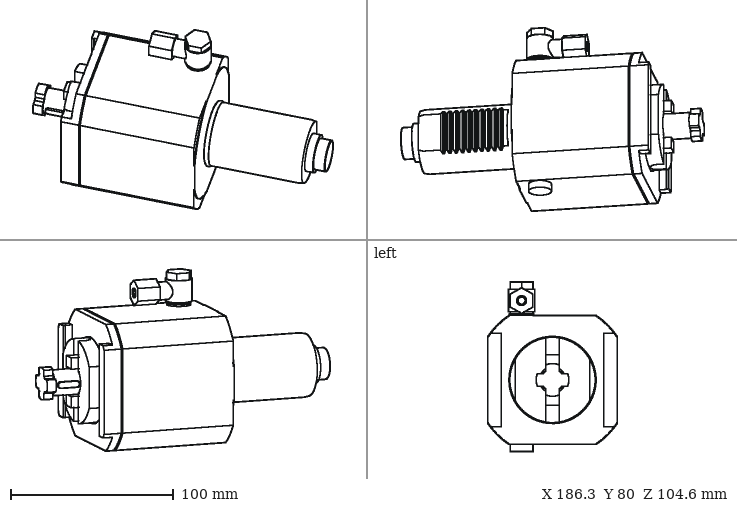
import cadquery as cq
import math


housing_width = 80.0
housing_height = 79.4
housing_length = 78.8
corner_radius = 47.9
joint_position = 73.0
joint_width = 0.7
joint_depth = 0.4
rear_pad_radius = 41.4
rear_pad_thickness = 0.5

strip_depth = 6.1
strip_height = 57.8
strip_gap = 63.0
strip_lip_depth = 1.5
strip_undercut = 0.5

flange_radius = 26.3
flange_flats = 45.6
flange_front = 88.3
flange_gap = 0.5
flange_gap_depth = 1.9
slot_width = 8.5
slot_depth = 9.1
key_front = 93.0
key_inner = 8.5
key_outer = 15.6

spindle_radius = 8.0
cross_front = 111.0
cross_thickness = 6.0
cross_radius = 10.0
cross_core_radius = 6.9
cross_arm_width = 7.8
feather_start = -103.4
feather_length = 14.2
feather_width = 4.0
feather_top = 9.3

shank_radius = 20.0
shank_length = 63.0
shank_chamfer_length = 3.0
shank_chamfer_height = 0.5
ring_groove_length = 3.7
ring_groove_radius = 19.2
ring_section_radius = 1.5
collar_radius = 12.0
collar_end = 68.0
tail_radius = 9.9
tail_end = 75.3
tail_chamfer = 0.4
flat_start = 6.9
flat_height = 16.0
tooth_count = 10
tooth_row_length = 36.0
tooth_pitch = tooth_row_length / (tooth_count - 1)
first_tooth = 11.5
tooth_depth = 1.7
tooth_top_width = 3.2
tooth_root_width = 1.0

elbow_x = -13.6
elbow_y = 19.0
elbow_radius = 8.2
elbow_bottom = 42.0
elbow_top = 55.9
seal_radius = 7.5
seal_top = 40.8
neck_radius = 7.0
cap_top = 60.4
cap_flats = 14.2
tube_radius = 5.5
tube_height = 48.8
nut_start = -43.0
nut_length = 14.5
nut_flats = 13.8
bore_radius = 2.2
bore_mouth_radius = 3.0
plug_radius = 7.0
plug_bottom = -44.2

front_face = -housing_length
overlap = 1.9


def cylinder_x(radius, start, end):
    """Cylinder on the spindle axis between two X positions."""
    return cq.Workplane("YZ").workplane(offset=start).circle(radius).extrude(end - start)


def box_between(x_range, y_range, z_range):
    """Axis-aligned box given by its limits on each axis."""
    sizes = [high - low for low, high in (x_range, y_range, z_range)]
    corner = (x_range[0], y_range[0], z_range[0])
    return cq.Workplane("XY").box(*sizes, centered=False).translate(corner)


def housing_prism(start, end, inset=0.0):
    """Square housing section with corners rounded about the spindle axis."""
    block = (
        cq.Workplane("YZ").workplane(offset=start)
        .rect(housing_width - 2 * inset, housing_height - 2 * inset)
        .extrude(end - start)
    )
    return block.intersect(cylinder_x(corner_radius - inset, start, end))


def make_housing():
    body = housing_prism(front_face, 0)
    joint_start = -joint_position - joint_width / 2
    joint_end = joint_start + joint_width
    joint_core = housing_prism(joint_start, joint_end, joint_depth)
    joint = housing_prism(joint_start, joint_end).cut(joint_core)
    body = body.cut(joint)

    pad = housing_prism(0, rear_pad_thickness)
    pad = pad.intersect(cylinder_x(rear_pad_radius, 0, rear_pad_thickness))
    return add_strips(body.union(pad))


def strip_band(start, end, width):
    """Centred block as high as the guide strips."""
    return box_between(
        (start, end),
        (-width / 2, width / 2),
        (-strip_height / 2, strip_height / 2),
    )


def add_strips(body):
    """Add ribs along both side edges of the front face, undercut behind a lip."""
    strip_start = front_face - strip_depth
    strip_end = front_face + overlap
    lip_end = strip_start + strip_lip_depth
    strips = housing_prism(strip_start, strip_end)
    strips = strips.intersect(strip_band(strip_start, strip_end, housing_width))
    strips = strips.cut(strip_band(strip_start, lip_end, strip_gap))
    strips = strips.cut(strip_band(lip_end, strip_end, strip_gap + 2 * strip_undercut))
    return body.union(strips)


def slot_profile(front):
    """Slot outline in plan, with a flat front end and a round inner end."""
    half = slot_width / 2
    bottom = slot_depth - flange_front
    return (
        cq.Workplane("XY")
        .moveTo(front, -half)
        .lineTo(bottom - half, -half)
        .threePointArc((bottom, 0), (bottom - half, half))
        .lineTo(front, half)
        .close()
    )


def add_flange(body):
    gap_floor = front_face + flange_gap_depth
    gap = cylinder_x(flange_radius + flange_gap, front_face, gap_floor)
    gap = gap.cut(cylinder_x(flange_radius, front_face, gap_floor))
    flats = box_between(
        (-flange_front, front_face),
        (-flange_flats / 2, flange_flats / 2),
        (-flange_radius, flange_radius),
    )
    flange = cylinder_x(flange_radius, -flange_front, front_face).intersect(flats)
    slot = slot_profile(-flange_front).extrude(flange_radius, both=True)
    body = body.cut(gap).union(flange).cut(slot)

    upper_key = slot_profile(-key_front).extrude(key_outer - key_inner).translate((0, 0, key_inner))
    return body.union(upper_key).union(upper_key.mirror("XY"))


def make_spindle():
    cross_back = cross_thickness - cross_front
    spindle = cylinder_x(spindle_radius, cross_back, front_face + overlap)

    arms = cq.Workplane("YZ").workplane(offset=-cross_front)
    arms = (
        arms.rect(2 * cross_radius, cross_arm_width).extrude(cross_thickness)
        .union(arms.rect(slot_width, 2 * cross_radius).extrude(cross_thickness))
        .intersect(cylinder_x(cross_radius, -cross_front, cross_back))
    )
    core = cylinder_x(cross_core_radius, -cross_front, cross_back)

    feather = (
        cq.Workplane("XZ")
        .center(feather_start + feather_length / 2, 0)
        .slot2D(feather_length, feather_width)
        .extrude(feather_top)
    )
    return spindle.union(arms).union(core).union(feather)


def make_shank():
    chamfer_start = shank_length - shank_chamfer_length
    shank = (
        cq.Workplane("XY")
        .moveTo(-overlap, 0)
        .lineTo(-overlap, ring_groove_radius)
        .lineTo(ring_groove_length, ring_groove_radius)
        .lineTo(ring_groove_length, shank_radius)
        .lineTo(chamfer_start, shank_radius)
        .lineTo(shank_length, shank_radius - shank_chamfer_height)
        .lineTo(shank_length, collar_radius)
        .lineTo(collar_end, collar_radius)
        .lineTo(collar_end, tail_radius)
        .lineTo(tail_end - tail_chamfer, tail_radius)
        .lineTo(tail_end, tail_radius - tail_chamfer)
        .lineTo(tail_end, 0)
        .close()
        .revolve(360, (0, 0, 0), (1, 0, 0))
    )
    sealing_ring = (
        cq.Workplane("XY")
        .center(ring_groove_length - ring_section_radius, ring_groove_radius)
        .circle(ring_section_radius)
        .revolve(360, (0, -ring_groove_radius, 0), (1, -ring_groove_radius, 0))
    )
    flat = box_between(
        (flat_start, shank_length),
        (flat_height, shank_radius),
        (-shank_radius, shank_radius),
    )
    shank = shank.union(sealing_ring).cut(flat)

    for index in range(tooth_count):
        position = first_tooth + index * tooth_pitch
        notch = (
            cq.Workplane("XY")
            .polyline([
                (position - tooth_top_width / 2, flat_height),
                (position - tooth_root_width / 2, flat_height - tooth_depth),
                (position + tooth_root_width / 2, flat_height - tooth_depth),
                (position + tooth_top_width / 2, flat_height),
            ])
            .close()
            .extrude(shank_radius, both=True)
        )
        shank = shank.cut(notch)
    return shank


def cylinder_z(radius, bottom, top):
    """Cylinder on the elbow axis between two heights."""
    plane = cq.Workplane("XY", origin=(elbow_x, elbow_y, bottom))
    return plane.circle(radius).extrude(top - bottom)


def hexagon_corners(across_flats):
    """Width across corners of a hexagon."""
    return across_flats / math.cos(math.pi / 6)


def make_elbow():
    housing_top = housing_height / 2
    cap = (
        cq.Workplane("XY", origin=(elbow_x, elbow_y, elbow_top))
        .polygon(6, hexagon_corners(cap_flats))
        .extrude(cap_top - elbow_top)
    )
    seal = cylinder_z(seal_radius, housing_top - overlap, seal_top)
    neck = cylinder_z(neck_radius, seal_top, elbow_bottom)
    elbow = cylinder_z(elbow_radius, elbow_bottom, elbow_top).union(neck).union(seal).union(cap)

    inlet = cq.Workplane("YZ", origin=(nut_start, elbow_y, tube_height))
    nut = (
        inlet.transformed(rotate=(0, 0, 90))
        .polygon(6, hexagon_corners(nut_flats))
        .extrude(nut_length)
    )
    run = elbow_x - nut_start
    tube = inlet.circle(tube_radius).extrude(run)
    bore = inlet.circle(bore_radius).extrude(run)
    mouth_depth = bore_mouth_radius - bore_radius
    mouth = inlet.circle(bore_mouth_radius).workplane(offset=mouth_depth).circle(bore_radius).loft()
    well = cylinder_z(bore_radius, elbow_bottom, tube_height + tube_radius)
    return elbow.union(tube).union(nut).cut(bore).cut(mouth).cut(well)


plug = cylinder_z(plug_radius, plug_bottom, overlap - housing_height / 2)

result = (
    add_flange(make_housing())
    .union(make_spindle())
    .union(make_shank())
    .union(make_elbow())
    .union(plug)
)